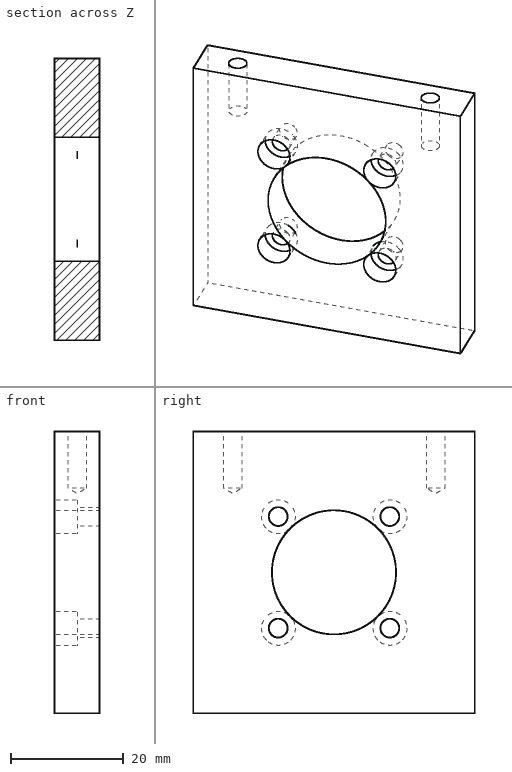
import cadquery as cq
import math

thickness = 8.0
side = 50.0

bore_diameter = 22.0

bolt_circle_diameter = 28.0
bolt_pitch = bolt_circle_diameter / math.sqrt(2)
screw_diameter = 3.3
counterbore_diameter = 6.0
counterbore_depth = 4.0

edge_hole_diameter = 3.24
edge_hole_pitch = 36.0
edge_hole_depth = 10.0
drill_point_angle = 118.0


def make_plate():
    return cq.Workplane("XY").box(thickness, side, side)


def cut_bore(body):
    return body.faces("<X").workplane(origin=(-thickness / 2, 0, 0)).hole(bore_diameter)


def cut_screw_holes(body):
    return (
        body.faces("<X")
        .workplane(origin=(-thickness / 2, 0, 0))
        .rect(bolt_pitch, bolt_pitch, forConstruction=True)
        .vertices()
        .cboreHole(screw_diameter, counterbore_diameter, counterbore_depth)
    )


def make_edge_drill():
    """Drill-shaped tool, hanging down from the origin along -Z."""
    radius = edge_hole_diameter / 2
    tip_length = radius / math.tan(math.radians(drill_point_angle / 2))
    return (
        cq.Workplane("XZ")
        .lineTo(radius, 0)
        .lineTo(radius, -edge_hole_depth)
        .lineTo(0, -edge_hole_depth - tip_length)
        .close()
        .revolve(360, (0, 0, 0), (0, 1, 0))
    )


def cut_edge_holes(body):
    drill = make_edge_drill()
    for y in (-edge_hole_pitch / 2, edge_hole_pitch / 2):
        body = body.cut(drill.translate((0, y, side / 2)))
    return body


result = cut_edge_holes(cut_screw_holes(cut_bore(make_plate())))